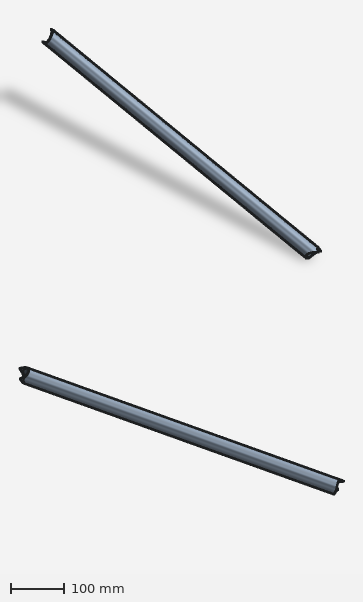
import cadquery as cq
import math

tube_radius = 15.0
wall = 2.0
run_x = 100.0
drift_y = 0.75
drop_z = 27.5
stock_length = 788.0

start_copes = [
    {"radius": 15.0, "distance": 326.5, "turn": 143.0, "lean": 12.4, "offset": 0.0},
]
finish_copes = [
    {"radius": 24.0, "distance": 358.5, "turn": 143.0, "lean": -8.0, "offset": 10.5},
    {"radius": 14.5, "distance": 367.0, "turn": -150.0, "lean": 38.7, "offset": -4.0},
]
cutter_length = 197.0

axis = cq.Vector(run_x, drift_y, -drop_z).normalized()
top = cq.Vector(drop_z, 0, run_x).normalized()
side = top.cross(axis)


def tube():
    """Pipe centred on the origin."""
    plane = cq.Plane(origin=axis * (-stock_length / 2), xDir=side, normal=axis)
    rings = cq.Workplane(plane).circle(tube_radius).circle(tube_radius - wall)
    return rings.extrude(stock_length)


def cope_cutter(cope, end):
    """Neighbouring cylinder plus everything beyond it; end is -1 or +1 along the axis."""
    turn = math.radians(cope["turn"])
    lean = math.radians(cope["lean"])
    across = side * math.cos(turn) + top * math.sin(turn)
    sideways = top * math.cos(turn) - side * math.sin(turn)
    along = across * math.cos(lean) + axis * (end * math.sin(lean))
    outward = axis * (end * math.cos(lean)) - across * math.sin(lean)
    centre = axis * (end * cope["distance"]) + sideways * cope["offset"]

    plane = cq.Plane(origin=centre - along * (cutter_length / 2), xDir=outward, normal=along)
    radius = cope["radius"]
    neighbour = cq.Workplane(plane).circle(radius).extrude(cutter_length)
    beyond = (
        cq.Workplane(plane)
        .center(cutter_length / 2, 0)
        .rect(cutter_length, 2 * radius)
        .extrude(cutter_length)
    )
    return neighbour.union(beyond)


result = tube()
for end, copes in ((-1, start_copes), (1, finish_copes)):
    for cope in copes:
        result = result.cut(cope_cutter(cope, end))